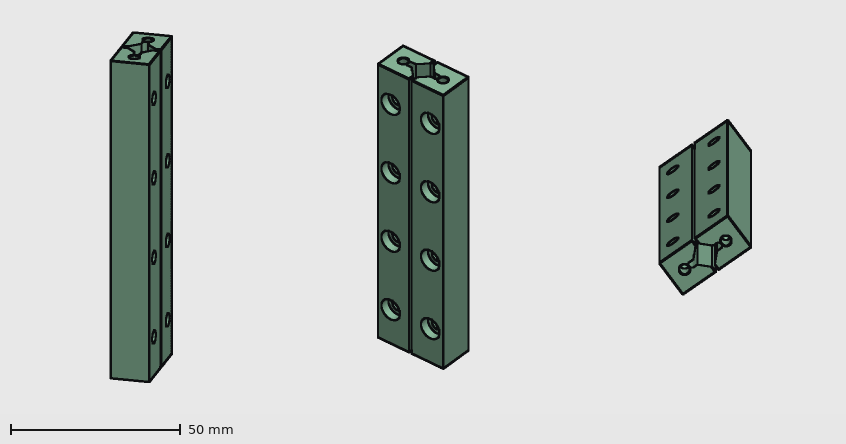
import cadquery as cq
import math

rail_length = 100.0
rail_width = 12.0
pair_depth = 25.0
rail_gap = 1.0
rail_depth = (pair_depth - rail_gap) / 2
inner_face = rail_gap / 2
outer_face = pair_depth / 2

raceway_half_width = 4.1
slot_width = 2.0
slot_radius = slot_width / 2
slot_start = inner_face + raceway_half_width - slot_radius
slot_bottom = 5.9

hole_axis = 7.5
mount_hole_count = 4
mount_hole_pitch = 25.0
mount_hole_diameter = 4.0
counterbore_diameter = 7.0
counterbore_depth = 3.2
first_mount_hole = (rail_length - (mount_hole_count - 1) * mount_hole_pitch) / 2

end_hole_diameter = 3.0
end_hole_depth = 6.0
end_hole_rim_chamfer = 0.2
drill_point_angle = 90.0

edge_chamfer = 0.18


def rail_blank():
    """Square bar, chamfered on all edges but the two long ones of the inner face."""
    bar = cq.Workplane("XY").box(rail_width, rail_depth, rail_length, centered=(True, False, False))
    return bar.translate((0, inner_face, 0)).edges("not(|Z and <Y)").chamfer(edge_chamfer)


def raceway_cutter():
    """V groove and relief slot along the whole inner face."""
    slot_side_end = slot_bottom - slot_radius
    return (
        cq.Workplane("XY")
        .moveTo(-raceway_half_width, inner_face)
        .lineTo(-slot_radius, slot_start)
        .lineTo(-slot_radius, slot_side_end)
        .threePointArc((0, slot_bottom), (slot_radius, slot_side_end))
        .lineTo(slot_radius, slot_start)
        .lineTo(raceway_half_width, inner_face)
        .close()
        .extrude(rail_length)
    )


def mount_hole_cutter(height):
    """Through hole along X with a counterbore at the -X face."""
    plane = cq.Plane(origin=(-rail_width / 2, hole_axis, height), xDir=(0, 1, 0), normal=(1, 0, 0))
    through = cq.Workplane(plane).circle(mount_hole_diameter / 2).extrude(rail_width)
    counterbore = cq.Workplane(plane).circle(counterbore_diameter / 2).extrude(counterbore_depth)
    return through.union(counterbore)


def end_hole_cutter():
    """Blind hole with a conical drill point, entering the bottom end face."""
    radius = end_hole_diameter / 2
    point_length = radius / math.tan(math.radians(drill_point_angle / 2))
    profile = [
        (0, 0),
        (radius + end_hole_rim_chamfer, 0),
        (radius, end_hole_rim_chamfer),
        (radius, end_hole_depth),
        (0, end_hole_depth + point_length),
    ]
    cutter = cq.Workplane("XZ").polyline(profile).close().revolve(360, (0, 0, 0), (0, 1, 0))
    return cutter.translate((0, hole_axis, 0))


def make_rail():
    """Rail on the +Y side of the pair."""
    rail = rail_blank().cut(raceway_cutter())
    for index in range(mount_hole_count):
        rail = rail.cut(mount_hole_cutter(first_mount_hole + index * mount_hole_pitch))
    end_hole = end_hole_cutter()
    opposite_end_hole = end_hole.mirror("XY", (0, 0, rail_length / 2))
    return rail.cut(end_hole).cut(opposite_end_hole)


rear_rail = make_rail()
front_rail = rear_rail.mirror("XZ")

result = cq.Compound.makeCompound([rear_rail.val(), front_rail.val()])